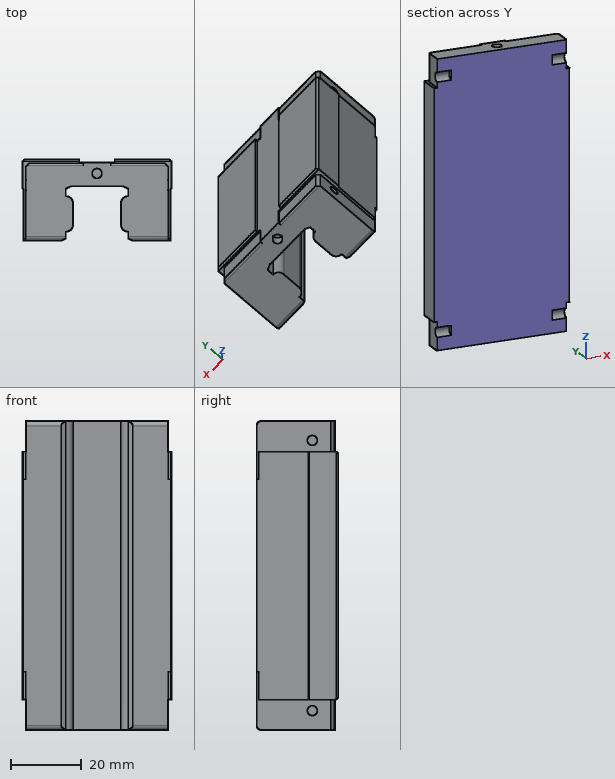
import cadquery as cq

total_length = 87.2
body_width = 42.0
body_height = 23.0

cap_length = 8.6
cap_width = 40.1
cap_height = 21.9
cap_corner_chamfer = 1.0
cap_top_chamfer_height = 0.6
cap_top_chamfer_length = 0.2
bridge_height = 22.15
bridge_width = 7.7
cap_foot_radius = 1.3

body_length = total_length - 2 * cap_length
side_step = 0.3
side_step_height = 14.8
body_top_chamfer = 0.6
body_end_chamfer = 0.5
top_recess_width = 9.9
foot_notch_height = 0.6
foot_notch_length = 7.8

channel_width = 17.6
channel_height = 15.35
roof_chamfer_width = 1.5
roof_chamfer_height = 0.7
lip_gap = 13.4
lip_top = 12.65
lip_bottom = 2.5
mouth_chamfer_width = 1.3
mouth_chamfer_height = 0.6

hole_diameter = 2.8
hole_depth = 4.4
end_hole_height = 19.0
side_hole_height = 15.7
side_hole_inset = 5.5

half_length = total_length / 2


def make_body():
    """Body between the caps: wide upper band, sloped side steps, raised top pads."""
    half_width = body_width / 2
    lower_half_width = half_width - side_step
    profile = [
        (-lower_half_width, 0),
        (lower_half_width, 0),
        (lower_half_width, side_step_height - side_step),
        (half_width, side_step_height),
        (half_width, body_height - body_top_chamfer),
        (half_width - body_top_chamfer, body_height),
        (-half_width + body_top_chamfer, body_height),
        (-half_width, body_height - body_top_chamfer),
        (-half_width, side_step_height),
        (-lower_half_width, side_step_height - side_step),
    ]
    body = cq.Workplane("XY").polyline(profile).close().extrude(body_length / 2, both=True)
    body = body.faces(">Y").edges("|X").chamfer(body_top_chamfer, body_end_chamfer)
    recess_depth = body_height - bridge_height
    recess = cq.Workplane("XY").box(top_recess_width, 2 * recess_depth, total_length)
    return body.cut(recess.translate((0, body_height, 0)))


def make_foot_notches():
    """Shallow notches under the four lower corners of the body sides."""
    notch_width = (body_width - cap_width) / 2
    notch = cq.Workplane("XY").box(notch_width, 2 * foot_notch_height, foot_notch_length)
    x = (cap_width + notch_width) / 2
    z = (body_length - foot_notch_length) / 2
    notches = cq.Workplane("XY")
    for x_side in (-1, 1):
        for z_side in (-1, 1):
            notches = notches.add(notch.translate((x_side * x, 0, z_side * z)))
    return notches.combine()


def make_caps():
    """Core bar whose two ends form the end caps, with a slightly raised central bridge."""
    half_width = cap_width / 2
    shoulder_x = half_width - cap_corner_chamfer
    shoulder_y = cap_height - cap_corner_chamfer
    profile = [
        (-half_width, 0),
        (half_width, 0),
        (half_width, shoulder_y),
        (shoulder_x, cap_height),
        (-shoulder_x, cap_height),
        (-half_width, shoulder_y),
    ]
    bar = cq.Workplane("XY").polyline(profile).close().extrude(half_length, both=True)
    bar = bar.faces("<Y").edges("|X").fillet(cap_foot_radius)
    bar = bar.faces(">Y").edges("|X").chamfer(cap_top_chamfer_height, cap_top_chamfer_length)
    bridge = cq.Workplane("XY").box(bridge_width, bridge_height, total_length)
    return bar.union(bridge.translate((0, bridge_height / 2, 0)))


def make_channel():
    """Rail channel with two inward lips, open at the front face."""
    wide = channel_width / 2
    narrow = lip_gap / 2
    lip_radius = wide - narrow
    channel = (
        cq.Workplane("XY")
        .moveTo(0, 0)
        .lineTo(wide + mouth_chamfer_width, 0)
        .lineTo(wide, mouth_chamfer_height)
        .lineTo(wide, lip_bottom)
        .radiusArc((narrow, lip_bottom + lip_radius), lip_radius)
        .lineTo(narrow, lip_top - lip_radius)
        .radiusArc((wide, lip_top), lip_radius)
        .lineTo(wide, channel_height - roof_chamfer_height)
        .lineTo(wide - roof_chamfer_width, channel_height)
        .lineTo(0, channel_height)
        .close()
        .extrude(half_length, both=True)
    )
    return channel.union(channel.mirror("YZ"))


def make_holes():
    """Blind holes in the end faces and in both sides of each cap."""
    holes = cq.Workplane("XY")
    side_hole = cq.Workplane("YZ").circle(hole_diameter / 2).extrude(hole_depth, both=True)
    end_hole = cq.Workplane("XY").circle(hole_diameter / 2).extrude(hole_depth, both=True)
    for z_side in (-1, 1):
        holes = holes.add(end_hole.translate((0, end_hole_height, z_side * half_length)))
        for x_side in (-1, 1):
            x = x_side * cap_width / 2
            z = z_side * (half_length - side_hole_inset)
            holes = holes.add(side_hole.translate((x, side_hole_height, z)))
    return holes.combine()


carriage = make_body().cut(make_foot_notches()).union(make_caps())
result = carriage.cut(make_channel()).cut(make_holes())